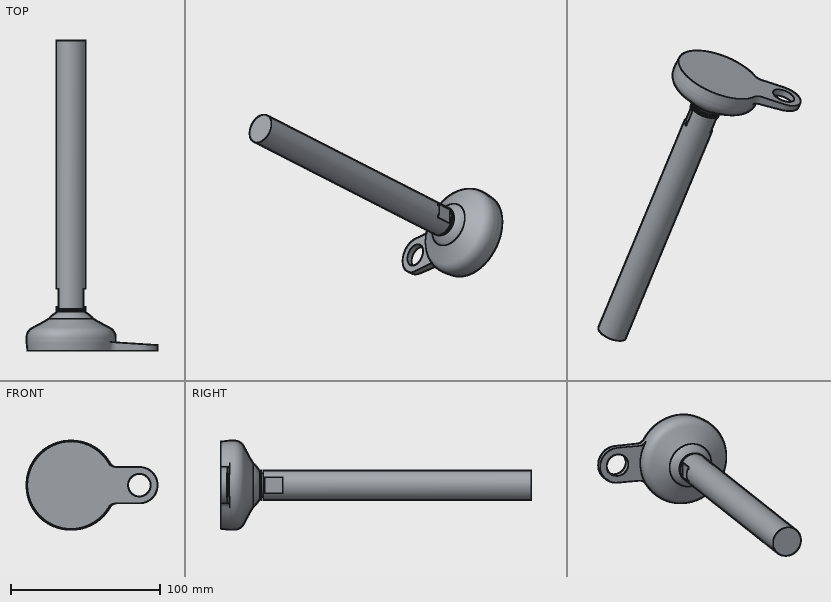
import cadquery as cq
import math


total_length = 208.0
foot_radius = 30.0
foot_bottom_radius = 29.3
rim_bottom = 6.0
rim_top = 8.9
shoulder_radius = 7.5
shoulder_slope = math.radians(26.0)

dome_radius = 19.5
dome_center_height = 9.1
dome_top_radius = 9.4
dome_base_radius = 14.9

lug_tip = 58.0
lug_half_width = 12.25
lug_tip_height = 4.0
lug_slope_start = 27.0
lug_hole_diameter = 15.0
lug_corner_fillet = 5.0
lug_end_center = lug_tip - lug_half_width
corner_margin = 1.5

stem_radius = 10.0
neck_radius = 8.0
neck_bottom = 27.2
neck_top = 28.4
flat_bottom = 29.5
flat_length = 12.0
width_across_flats = 17.0


def dome_height(radius):
    """Height of the dome surface at a given distance from the stem axis."""
    return dome_center_height + math.sqrt(dome_radius**2 - radius**2)


seat_height = dome_height(dome_base_radius)


def make_pad():
    """Revolved pad: tapered rim, rounded shoulder, concave flank and a flat seat for the dome."""
    shoulder_middle = (shoulder_slope + math.pi / 2) / 2
    shoulder_center_radius = foot_radius - shoulder_radius

    def shoulder_point(angle):
        """Point of the shoulder arc, at an angle measured from the stem axis."""
        return (
            shoulder_center_radius + shoulder_radius * math.sin(angle),
            rim_top + shoulder_radius * math.cos(angle),
        )

    return (
        cq.Workplane("XY")
        .lineTo(foot_bottom_radius, 0)
        .lineTo(foot_radius, rim_bottom)
        .lineTo(foot_radius, rim_top)
        .threePointArc(shoulder_point(shoulder_middle), shoulder_point(shoulder_slope))
        .tangentArcPoint((dome_base_radius, seat_height), relative=False)
        .lineTo(0, seat_height)
        .close()
        .revolve(360, (0, 0), (0, 1))
    )


def make_lug():
    """Rim and round-ended lug in one plate, with filleted inner corners and a top sloping to the tip."""
    rim = (
        cq.Workplane("XY")
        .lineTo(foot_bottom_radius, 0)
        .lineTo(foot_radius, rim_bottom)
        .lineTo(0, rim_bottom)
        .close()
        .revolve(360, (0, 0), (0, 1))
    )
    arm = (
        cq.Workplane("XZ")
        .moveTo(0, -lug_half_width)
        .lineTo(lug_end_center, -lug_half_width)
        .threePointArc((lug_tip, 0), (lug_end_center, lug_half_width))
        .lineTo(0, lug_half_width)
        .close()
        .extrude(-rim_bottom)
    )
    corner_x = math.sqrt(foot_radius**2 - lug_half_width**2)
    inner_corners = cq.selectors.BoxSelector(
        (corner_x - corner_margin, 0, -lug_half_width - corner_margin),
        (corner_x + corner_margin, rim_bottom - corner_margin, lug_half_width + corner_margin),
    )
    plate = rim.union(arm).edges(inner_corners).fillet(lug_corner_fillet)
    slope_wedge = (
        cq.Workplane("XY")
        .moveTo(lug_slope_start, rim_bottom)
        .lineTo(lug_tip, lug_tip_height)
        .lineTo(lug_tip, rim_bottom)
        .close()
        .extrude(foot_radius, both=True)
    )
    return plate.cut(slope_wedge)


def make_foot():
    """Pad and lug joined, with the fixing hole through the lug."""
    hole = (
        cq.Workplane("XZ")
        .center(lug_end_center, 0)
        .circle(lug_hole_diameter / 2)
        .extrude(-rim_bottom)
    )
    return make_pad().union(make_lug()).cut(hole)


def make_stem():
    """Round stem with two spanner flats, a neck and a spherical dome seated on the pad."""
    dome_middle_radius = (dome_base_radius + dome_top_radius) / 2
    stem = (
        cq.Workplane("XY")
        .moveTo(0, seat_height)
        .lineTo(dome_base_radius, seat_height)
        .threePointArc(
            (dome_middle_radius, dome_height(dome_middle_radius)),
            (dome_top_radius, dome_height(dome_top_radius)),
        )
        .lineTo(stem_radius, neck_bottom)
        .lineTo(neck_radius, neck_bottom)
        .lineTo(neck_radius, neck_top)
        .lineTo(stem_radius, neck_top)
        .lineTo(stem_radius, total_length)
        .lineTo(0, total_length)
        .close()
        .revolve(360, (0, 0), (0, 1))
    )
    for side in (-1, 1):
        flat_cut = cq.Workplane("XY").box(stem_radius, flat_length, 2 * stem_radius).translate(
            (side * (width_across_flats + stem_radius) / 2, flat_bottom + flat_length / 2, 0)
        )
        stem = stem.cut(flat_cut)
    return stem


foot = make_foot()
stem = make_stem()
result = cq.Compound.makeCompound([foot.val(), stem.val()])